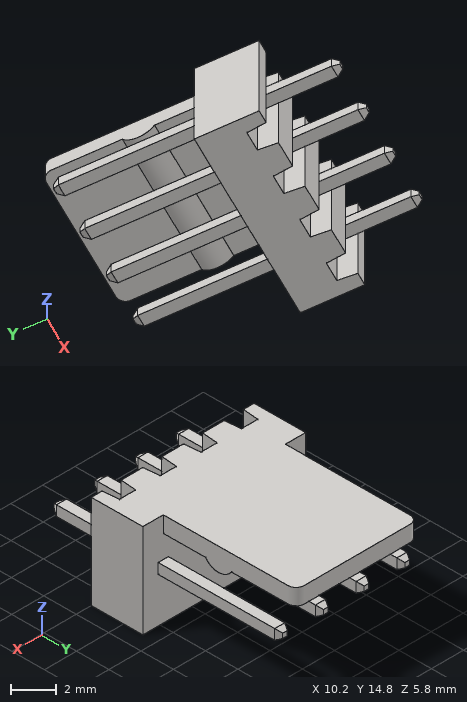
import cadquery as cq

overall_length = 14.8

housing_width = 10.15
housing_depth = 3.2
housing_height = 5.8

pin_count = 4
pin_pitch = housing_width / pin_count
pin_size = 0.64
pin_tip_size = 0.3
pin_tip_length = 0.33
pin_front_length = 3.4
pin_drop = 2.71

groove_depth = 0.99
groove_mouth_width = 1.18
groove_floor_width = 1.0

tongue_length = overall_length - pin_front_length - housing_depth
tongue_width = (pin_count - 1) * pin_pitch
tongue_thickness = 0.99
tongue_corner_radius = 0.5
tongue_bottom = housing_height - tongue_thickness
tongue_end = housing_depth + tongue_length
pin_rear_setback = 0.68

ridge_length = 1.58
ridge_height = 0.41
ridge_setback = 4.8

pin_positions = [(i - (pin_count - 1) / 2) * pin_pitch for i in range(pin_count)]


def make_housing():
    return cq.Workplane("XY").box(
        housing_width, housing_depth, housing_height, centered=(True, False, False)
    )


def make_groove(x):
    half_mouth = groove_mouth_width / 2
    half_floor = groove_floor_width / 2
    return (
        cq.Workplane("XY")
        .moveTo(x - half_mouth, 0)
        .lineTo(x - half_floor, groove_depth)
        .lineTo(x + half_floor, groove_depth)
        .lineTo(x + half_mouth, 0)
        .close()
        .extrude(housing_height)
    )


def make_tongue():
    return (
        cq.Workplane("XY", origin=(0, housing_depth, tongue_bottom))
        .box(tongue_width, tongue_length, tongue_thickness, centered=(True, False, False))
        .edges("|Z and >Y")
        .fillet(tongue_corner_radius)
    )


def make_ridge():
    centre = tongue_end - ridge_setback
    return (
        cq.Workplane("YZ")
        .moveTo(centre - ridge_length / 2, tongue_bottom)
        .threePointArc(
            (centre, tongue_bottom - ridge_height),
            (centre + ridge_length / 2, tongue_bottom),
        )
        .close()
        .extrude(tongue_width / 2, both=True)
    )


def make_pin(x):
    pin_start = -pin_front_length
    pin_end = tongue_end - pin_rear_setback
    shaft_start = pin_start + pin_tip_length
    shaft_end = pin_end - pin_tip_length

    def make_tip(shaft_y, tip_y):
        return (
            cq.Workplane("XZ", origin=(x, shaft_y, housing_height - pin_drop))
            .rect(pin_size, pin_size)
            .workplane(offset=shaft_y - tip_y)
            .rect(pin_tip_size, pin_tip_size)
            .loft(ruled=True)
        )

    shaft = (
        cq.Workplane("XZ", origin=(x, shaft_start, housing_height - pin_drop))
        .rect(pin_size, pin_size)
        .extrude(shaft_start - shaft_end)
    )
    return shaft.union(make_tip(shaft_start, pin_start)).union(make_tip(shaft_end, pin_end))


result = make_housing().union(make_tongue()).union(make_ridge())
for pin_x in pin_positions:
    result = result.cut(make_groove(pin_x))
for pin_x in pin_positions:
    result = result.union(make_pin(pin_x))